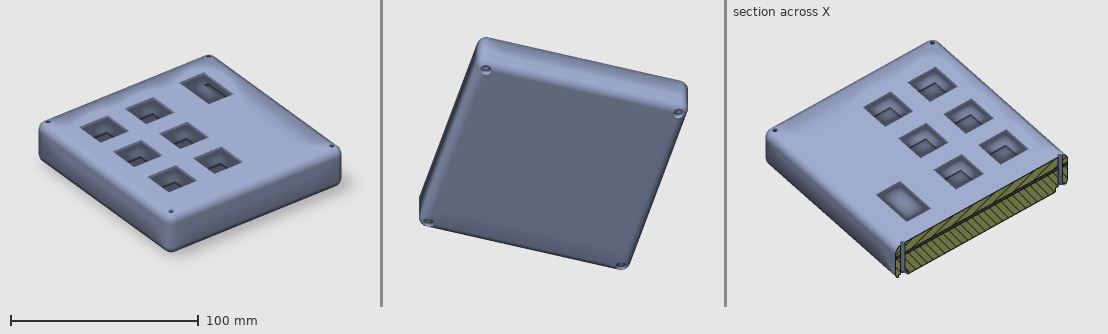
import cadquery as cq

LENGTH = 119.5
WIDTH = 117.0
HEIGHT = 25.2
EDGE_RADIUS = 5.0

COVER_HEIGHT = 8.0
COVER_ROOF = 1.5
PLATE_THICKNESS = 1.5
BOARD_THICKNESS = 1.5
FLOOR_THICKNESS = 1.5
PLATE_TOP = HEIGHT - COVER_HEIGHT
PLATE_BOTTOM = PLATE_TOP - PLATE_THICKNESS

WALL = 7.2
CAVITY_LENGTH = LENGTH - 2 * WALL
CAVITY_WIDTH = WIDTH - 2 * WALL

SCREW_INSET = 5.0
SCREW_DIAMETER = 2.9
SCREW_HEAD_DIAMETER = 5.9
SCREW_HEAD_DEPTH = 3.0
SCREW_CENTRES = [
    (side * (LENGTH / 2 - SCREW_INSET), end * (WIDTH / 2 - SCREW_INSET))
    for side in (-1, 1)
    for end in (-1, 1)
]

KEY_OPENING = 19.1
SWITCH_HOLE = 14.2
KEY_PITCH = 30.4
FIRST_KEY_X = -31.0
UPPER_ROW_Y = -3.6
LOWER_MIDDLE_SHIFT = 0.5
LOWER_ROW_Y = UPPER_ROW_Y - KEY_PITCH
KEY_CENTRES = [
    (FIRST_KEY_X, UPPER_ROW_Y),
    (FIRST_KEY_X + KEY_PITCH, UPPER_ROW_Y),
    (FIRST_KEY_X + 2 * KEY_PITCH, UPPER_ROW_Y),
    (FIRST_KEY_X, LOWER_ROW_Y),
    (FIRST_KEY_X + KEY_PITCH - LOWER_MIDDLE_SHIFT, LOWER_ROW_Y),
    (FIRST_KEY_X + 2 * KEY_PITCH, LOWER_ROW_Y),
]

WINDOW_LENGTH = 26.5
WINDOW_WIDTH = 16.6
WINDOW_X = -30.4
WINDOW_Y = 33.6
SLOT_LENGTH = 27.4
SLOT_WIDTH = 3.1
SLOT_Y = 43.5


def block(length, width, bottom, top, centres=((0, 0),)):
    """Upright rectangular blocks between two heights."""
    return (
        cq.Workplane("XY", origin=(0, 0, bottom))
        .pushPoints(list(centres))
        .rect(length, width)
        .extrude(top - bottom)
    )


def screw_cylinders(diameter, bottom, top):
    """Upright cylinders on the four corner screw axes."""
    return (
        cq.Workplane("XY", origin=(0, 0, bottom))
        .pushPoints(SCREW_CENTRES)
        .circle(diameter / 2)
        .extrude(top - bottom)
    )


def case_layer(bottom, top):
    """Slice of the rounded case, with the screw holes through it."""
    case = block(LENGTH, WIDTH, 0, HEIGHT).edges().fillet(EDGE_RADIUS)
    layer = case.intersect(block(LENGTH, WIDTH, bottom, top))
    return layer.cut(screw_cylinders(SCREW_DIAMETER, bottom, top))


def make_cover():
    """Hollow lid with the key openings and the display window."""
    cover = case_layer(PLATE_TOP, HEIGHT)
    cover = cover.cut(block(CAVITY_LENGTH, CAVITY_WIDTH, PLATE_TOP, HEIGHT - COVER_ROOF))
    cover = cover.cut(block(KEY_OPENING, KEY_OPENING, PLATE_TOP, HEIGHT, KEY_CENTRES))
    window = block(WINDOW_LENGTH, WINDOW_WIDTH, PLATE_TOP, HEIGHT, [(WINDOW_X, WINDOW_Y)])
    return cover.cut(window)


def make_plate():
    """Flat plate with the switch holes and the display wire slot."""
    plate = case_layer(PLATE_BOTTOM, PLATE_TOP)
    plate = plate.cut(block(SWITCH_HOLE, SWITCH_HOLE, PLATE_BOTTOM, PLATE_TOP, KEY_CENTRES))
    slot = block(SLOT_LENGTH, SLOT_WIDTH, PLATE_BOTTOM, PLATE_TOP, [(WINDOW_X, SLOT_Y)])
    return plate.cut(slot)


def make_board():
    """Circuit board that closes the switch holes, directly below the plate."""
    return block(CAVITY_LENGTH, CAVITY_WIDTH, PLATE_BOTTOM - BOARD_THICKNESS, PLATE_BOTTOM)


def make_base():
    """Open tray with recesses for the screw heads under its corners."""
    base = case_layer(0, PLATE_BOTTOM)
    base = base.cut(block(CAVITY_LENGTH, CAVITY_WIDTH, FLOOR_THICKNESS, PLATE_BOTTOM))
    return base.cut(screw_cylinders(SCREW_HEAD_DIAMETER, 0, SCREW_HEAD_DEPTH))


cover = make_cover()
plate = make_plate()
board = make_board()
base = make_base()

result = cq.Compound.makeCompound([cover.val(), plate.val(), board.val(), base.val()])